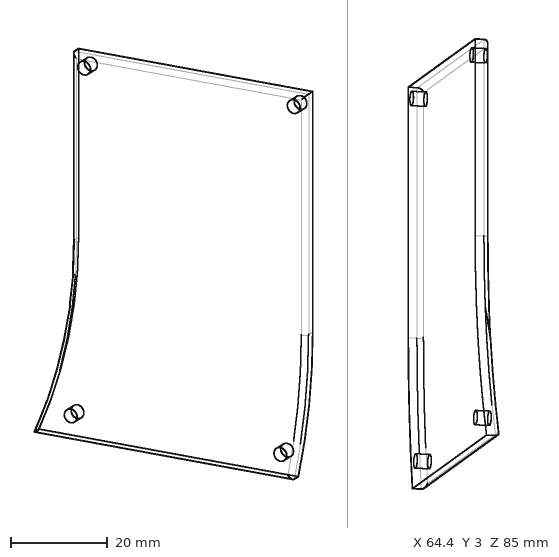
import cadquery as cq
import math

width = 64.4
height = 85.0
thickness = 3.0
front_fillet = 1.1

left_sweep = 9.35
left_tangent_z = 43.7
right_sweep = 3.4
right_tangent_z = 32.4

hole_diameter = 3.0
top_hole_inset = 2.9
bottom_hole_z = 5.35
bottom_hole_x = 9.1
hole_spacing = width - left_sweep - 2 * top_hole_inset


def sweep_midpoint(straight_x, tangent_z, sweep):
    """Point halfway along an arc that starts vertical and drifts left by sweep at z = 0."""
    radius = (sweep**2 + tangent_z**2) / (2 * sweep)
    half_angle = math.asin(tangent_z / radius) / 2
    x = straight_x - radius * (1 - math.cos(half_angle))
    z = tangent_z - radius * math.sin(half_angle)
    return x, z


def make_plate():
    """Curved-side plate with its front face at y = 0 and its back at y = thickness."""
    left_middle = sweep_midpoint(left_sweep, left_tangent_z, left_sweep)
    right_middle = sweep_midpoint(width, right_tangent_z, right_sweep)
    outline = (
        cq.Workplane("XZ")
        .moveTo(0, 0)
        .lineTo(width - right_sweep, 0)
        .threePointArc(right_middle, (width, right_tangent_z))
        .lineTo(width, height)
        .lineTo(left_sweep, height)
        .lineTo(left_sweep, left_tangent_z)
        .threePointArc(left_middle, (0, 0))
        .close()
    )
    plate = outline.extrude(-thickness)
    return plate.faces("<Y").edges().fillet(front_fillet)


def make_holes():
    """Cutters for the four through holes, in two rows of equal spacing."""
    top_row_start = (left_sweep + top_hole_inset, height - top_hole_inset)
    bottom_row_start = (bottom_hole_x, bottom_hole_z)
    centers = []
    for x, z in (top_row_start, bottom_row_start):
        centers += [(x, z), (x + hole_spacing, z)]
    return cq.Workplane("XZ").pushPoints(centers).circle(hole_diameter / 2).extrude(-thickness)


result = make_plate().cut(make_holes())